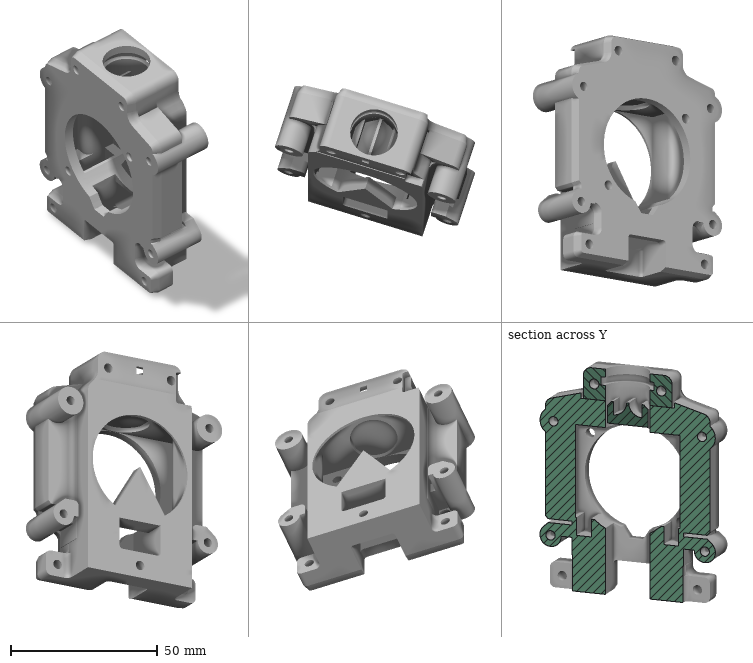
import cadquery as cq
import math

DRAFT_DEPTH = 3.0
PLATE_DEPTH = 3.6
FOOT_DEPTH = 8.8
FLANGE_DEPTH = 12.1
POCKET_DEPTH = 13.6
SECTOR_FRONT = 17.6
LOWER_POST_DEPTH = 19.0
SIDE_RECESS_FRONT = 19.4
BACK_WALL_FRONT = 21.1
BLOCK_DEPTH = 21.8
DEPTH = 22.0

HEIGHT = 80.0
DRAFT_INSET = 1.0
NECK_HALF = 16.5
NECK_RADIUS = 3.1
SHOULDER_START_Z = 70.9
SHOULDER_ANGLE = 15.0
FLANGE_HALF = 30.5
FLANGE_BOTTOM_Z = 25.8
FLANGE_NOTCH_HALF = 29.4
FLANGE_NOTCH_Z = 24.7
WAIST_HALF = 20.7
WAIST_TOP_RADIUS = 1.9
FOOT_HALF = 29.5
FOOT_TOP_Z = 9.0
FOOT_FILLET = 1.8
FOOT_CORNER = 1.9
FLANGE_FILLET = 2.1

BOX_RELIEF = 0.2
COLLAR_BOTTOM_Z = 13.0
COLLAR_DEPTH = FLANGE_DEPTH + FLANGE_FILLET
BOX_SHOULDER_Z = 66.2
BOX_SHOULDER_RADIUS = 4.0
BOX_TOP_HALF = 17.8
BOX_TOP_Z = 69.4
BOX_RAMP_SLOPE = (BOX_TOP_Z - BOX_SHOULDER_Z) / (WAIST_HALF - BOX_TOP_HALF)
BLOCK_FLARE_RADIUS = 4.8

UPPER_POST = (27.4, 59.5)
UPPER_POST_DIAMETER = 10.0
LOWER_POST = (28.5, 19.0)
LOWER_POST_DIAMETER = 8.0
WEB_SLOPE = 40.0
WEB_INNER = 22.6
WEB_TOP_Z = 24.6
POST_HOLE = 3.2
SCREW_HOLE = 3.4
TOP_SCREW = (12.4, 74.2)
FOOT_SCREW = (25.0, 4.4)
PLATE_SCREW = (16.7, 14.1)

WINDOW_Z = 40.4
WINDOW_RADIUS = 18.7
SECTOR_HALF_ANGLE = 31.5
CHAMBER_FLOOR_Z = 26.3
CHAMBER_TOP_Z = 59.1
CHAMBER_FLANGE_HALF = 24.0
CHAMBER_STEP_Y = 9.8
CHAMBER_STEP_RADIUS = 2.8
SIDE_POCKET_INNER = 13.4
SIDE_POCKET_BOTTOM_Z = 20.0
ARCH_Z = 20.4
SLOT_HALF = 8.1
SLOT_TOP_Z = 10.4
SLOT_RADIUS = 1.1
BACK_SILL_Z = 9.3

BORE_Y = FLANGE_DEPTH
BORE_RADIUS = 8.2
GROOVE_RADIUS = 9.8
GROOVE_BOTTOM_Z = 74.2
GROOVE_TOP_Z = 77.0
CLAMP_BOTTOM_Z = 68.8
CLAMP_GAP = 0.6
CLAMP_SEAT_HALF = NECK_HALF + CLAMP_GAP

DIVIDER_HALF = 7.6
DIVIDER_LIP_OUTER = 5.9
DIVIDER_LIP_INNER = 5.1
DIVIDER_BOTTOM_Z = 60.8
DIVIDER_RIDGE_HALF = 0.5


def rounded_outline(plane, corners):
    """Closed wire on a workplane through (u, v, radius) corners, each corner rounded by its radius."""
    pieces = []
    count = len(corners)
    for i, (x, z, radius) in enumerate(corners):
        corner = cq.Vector(x, z)
        before = cq.Vector(*corners[i - 1][:2]) - corner
        after = cq.Vector(*corners[(i + 1) % count][:2]) - corner
        if radius == 0:
            pieces.append((corner, corner, corner))
            continue
        half_angle = before.getAngle(after) / 2
        tangent = radius / math.tan(half_angle)
        bisector = (before.normalized() + after.normalized()).normalized()
        middle = corner + bisector * (radius / math.sin(half_angle) - radius)
        pieces.append((corner + before.normalized() * tangent, middle, corner + after.normalized() * tangent))
    path = plane.moveTo(pieces[0][2].x, pieces[0][2].y)
    for start, middle, end in pieces[1:] + pieces[:1]:
        path = path.lineTo(start.x, start.y)
        if start != end:
            path = path.threePointArc((middle.x, middle.y), (end.x, end.y))
    return path.close()


def mirrored(right_half):
    """Full outline from the corners of its right half, listed from bottom to top."""
    return right_half + [(-x, z, radius) for x, z, radius in reversed(right_half)]


def prism(outline, y_front, y_back):
    plane = cq.Workplane("XZ", origin=(0, y_front, 0))
    return rounded_outline(plane, outline).extrude(y_front - y_back)


def block(x0, x1, y0, y1, z0, z1):
    return cq.Workplane("XY").box(x1 - x0, y1 - y0, z1 - z0, centered=False).translate((x0, y0, z0))


def rod(x, z, diameter, y_front, y_back):
    return cq.Workplane("XZ", origin=(x, y_front, z)).circle(diameter / 2).extrude(y_front - y_back)


def both_sides(solid):
    return solid.union(solid.mirror("YZ"))


def inner_fillet(x, y, radius, z0, z1):
    """Concave strip in the corner between a side facing +X at x and a rear face at y."""
    return (
        cq.Workplane("XY", origin=(0, 0, z0))
        .moveTo(x, y)
        .lineTo(x + radius, y)
        .radiusArc((x, y + radius), radius)
        .close()
        .extrude(z1 - z0)
    )


def shoulder_z(x):
    return SHOULDER_START_Z - (x - NECK_HALF) * math.tan(math.radians(SHOULDER_ANGLE))


def shoulder_corners():
    """Right side of the flange, from the notch under it to the shoulder."""
    return [
        (FLANGE_NOTCH_HALF, FLANGE_NOTCH_Z, 0.3),
        (FLANGE_HALF, FLANGE_BOTTOM_Z, 0.3),
        (FLANGE_HALF, shoulder_z(FLANGE_HALF), NECK_RADIUS),
    ]


def front_plate():
    tangent_offset = LOWER_POST_DIAMETER / 2 * math.sqrt(0.5)
    tangent_x = LOWER_POST[0] - tangent_offset
    tangent_z = LOWER_POST[1] - tangent_offset
    waist_top_z = tangent_z + tangent_x - WAIST_HALF
    outline = mirrored([
        (FOOT_HALF, 0, FOOT_CORNER),
        (FOOT_HALF, FOOT_TOP_Z, FOOT_CORNER),
        (WAIST_HALF, FOOT_TOP_Z, FOOT_FILLET),
        (WAIST_HALF, waist_top_z, WAIST_TOP_RADIUS),
        (tangent_x, tangent_z, 0),
        (FLANGE_NOTCH_HALF, LOWER_POST[1], 0),
        *shoulder_corners(),
        (NECK_HALF, SHOULDER_START_Z, NECK_RADIUS),
        (NECK_HALF, HEIGHT, NECK_RADIUS),
    ])
    draft = math.degrees(math.atan(DRAFT_INSET / DRAFT_DEPTH))
    plane = cq.Workplane("XZ", origin=(0, DRAFT_DEPTH, 0))
    rim = rounded_outline(plane, outline).extrude(DRAFT_DEPTH, taper=draft)
    return rim.union(prism(outline, DRAFT_DEPTH, PLATE_DEPTH))


def flange():
    corners = mirrored([*shoulder_corners(), (CLAMP_SEAT_HALF, shoulder_z(CLAMP_SEAT_HALF), 0)])
    return prism(corners, DRAFT_DEPTH, FLANGE_DEPTH)


def feet():
    foot = prism([
        (0, 0, 0),
        (FOOT_HALF, 0, FOOT_CORNER),
        (FOOT_HALF, FOOT_TOP_Z, FOOT_CORNER),
        (WAIST_HALF, FOOT_TOP_Z, FOOT_FILLET),
        (WAIST_HALF, FOOT_TOP_Z + 2 * FOOT_FILLET, 0),
        (0, FOOT_TOP_Z + 2 * FOOT_FILLET, 0),
    ], DRAFT_DEPTH, FOOT_DEPTH)
    lower_side = WAIST_HALF - BOX_RELIEF
    return both_sides(foot.union(inner_fillet(lower_side, FOOT_DEPTH, FOOT_FILLET, 0, FOOT_TOP_Z)))


def rear_box():
    lower_side = WAIST_HALF - BOX_RELIEF
    box = prism(mirrored([
        (lower_side, 0, 0),
        (lower_side, BOX_SHOULDER_Z, BOX_SHOULDER_RADIUS),
        (BOX_TOP_HALF, BOX_TOP_Z, 0),
    ]), PLATE_DEPTH, DEPTH)
    collar = block(-WAIST_HALF, WAIST_HALF, DRAFT_DEPTH, COLLAR_DEPTH, COLLAR_BOTTOM_Z, BOX_SHOULDER_Z - 1.6)
    strip = inner_fillet(WAIST_HALF, FLANGE_DEPTH, FLANGE_FILLET, FLANGE_NOTCH_Z, BOX_SHOULDER_Z - 1.6)
    return box.union(collar).union(both_sides(strip))


def hose_block():
    """Top block behind the clamp, flaring into the box shoulders."""
    flare_x = 1.6
    corner_z = BOX_TOP_Z + BOX_RAMP_SLOPE * (BOX_TOP_HALF - NECK_HALF)
    return prism(mirrored([
        (NECK_HALF + flare_x, corner_z - BOX_RAMP_SLOPE * flare_x, 0),
        (NECK_HALF, corner_z, BLOCK_FLARE_RADIUS),
        (NECK_HALF, HEIGHT, NECK_RADIUS),
    ]), FLANGE_DEPTH, BLOCK_DEPTH)


def posts():
    upper = rod(*UPPER_POST, UPPER_POST_DIAMETER, 0, DEPTH)
    lower = rod(*LOWER_POST, LOWER_POST_DIAMETER, 0, LOWER_POST_DEPTH)
    x, z = LOWER_POST
    slope = math.radians(WEB_SLOPE)
    tangent_x = x + LOWER_POST_DIAMETER / 2 * math.sin(slope)
    tangent_z = z + LOWER_POST_DIAMETER / 2 * math.cos(slope)
    web = prism([
        (tangent_x, tangent_z, 0),
        (tangent_x - (WEB_TOP_Z - tangent_z) / math.tan(slope), WEB_TOP_Z, 0),
        (WEB_INNER, WEB_TOP_Z, 1.6),
        (WEB_INNER, z, 0),
        (x, z, 0),
    ], 0, LOWER_POST_DEPTH)
    bridge = block(WAIST_HALF - 0.8, x, DRAFT_DEPTH, FLANGE_DEPTH, z, WEB_TOP_Z)
    gap = block(0, FLANGE_HALF, 0, COLLAR_DEPTH + 0.8, WEB_TOP_Z - 1.1, HEIGHT)
    return both_sides(upper.union(lower).union(web.union(bridge).cut(gap)))


def window():
    """Round window through the part and the notch below it."""
    bore = rod(0, WINDOW_Z, 2 * WINDOW_RADIUS, 0, DEPTH)
    notch = prism(mirrored([
        (2.5, 18.6, 0),
        (3.7, 20.2, 0),
        (5.3, 22.6, 0),
    ]), 0, PLATE_DEPTH)
    return bore.union(notch)


def chamber():
    """Cavity behind the front plate, wider inside the flange, with a sunken pocket at each side."""
    floor = cq.Workplane("XY", origin=(0, 0, CHAMBER_FLOOR_Z))
    cavity = rounded_outline(floor, mirrored([
        (CHAMBER_FLANGE_HALF, PLATE_DEPTH, 0),
        (CHAMBER_FLANGE_HALF, CHAMBER_STEP_Y, 0),
        (WINDOW_RADIUS, CHAMBER_STEP_Y, CHAMBER_STEP_RADIUS),
        (WINDOW_RADIUS, BACK_WALL_FRONT, 0),
    ])).extrude(CHAMBER_TOP_Z - CHAMBER_FLOOR_Z)
    side_pocket = block(
        SIDE_POCKET_INNER, WINDOW_RADIUS, PLATE_DEPTH, SECTOR_FRONT, SIDE_POCKET_BOTTOM_Z, WINDOW_Z
    )
    return cavity.union(both_sides(side_pocket))


def sector():
    """Wedge of the rear wall left standing below the window axis."""
    half_width = WINDOW_Z * math.tan(math.radians(SECTOR_HALF_ANGLE))
    wedge = prism([(0, WINDOW_Z, 0), (half_width, 0, 0), (-half_width, 0, 0)], SECTOR_FRONT, DEPTH)
    return wedge.intersect(rod(0, WINDOW_Z, 2 * WINDOW_RADIUS, 0, DEPTH))


def lower_openings():
    """Slot in the front, the pocket behind it and the opening through the rear wall."""
    slot = block(-SLOT_HALF, SLOT_HALF, 0, POCKET_DEPTH, 0, SLOT_TOP_Z).edges(">Y and |Z").fillet(SLOT_RADIUS)
    slot = slot.edges("<Y or >Z").edges("|Y").fillet(SLOT_RADIUS)
    pocket = block(-SLOT_HALF, SLOT_HALF, PLATE_DEPTH, POCKET_DEPTH, BACK_SILL_Z, WINDOW_Z)
    opening = block(-SLOT_HALF, SLOT_HALF, POCKET_DEPTH - 1.6, DEPTH, BACK_SILL_Z, ARCH_Z)
    opening = opening.faces("<Z").edges("|Y").fillet(SLOT_RADIUS)
    return slot.union(pocket).union(opening)


def side_recess():
    """Recess in the rear left side of the hose block and the box shoulder."""
    return block(-WAIST_HALF - 0.8, -14.2, SIDE_RECESS_FRONT, DEPTH, 66.4, 77.8).edges("|Y").fillet(0.8)


def hose_bore():
    """Grooved vertical bore shared by the housing and the clamp."""
    axis = cq.Workplane("XY", origin=(0, BORE_Y, WINDOW_Z))
    bore = axis.circle(BORE_RADIUS).extrude(HEIGHT - WINDOW_Z)
    groove = cq.Workplane("XY", origin=(0, BORE_Y, GROOVE_BOTTOM_Z)).circle(GROOVE_RADIUS)
    return bore.union(groove.extrude(GROOVE_TOP_Z - GROOVE_BOTTOM_Z))


def screw_holes():
    upper = rod(*UPPER_POST, POST_HOLE, 0, DEPTH)
    lower = rod(*LOWER_POST, POST_HOLE, 0, DEPTH)
    top = rod(*TOP_SCREW, SCREW_HOLE, 0, DEPTH)
    foot = rod(*FOOT_SCREW, SCREW_HOLE, 0, DEPTH)
    middle = rod(0, FOOT_SCREW[1], SCREW_HOLE, 0, DEPTH)
    holes = both_sides(upper.union(lower).union(top).union(foot)).union(middle)
    for side in (-1, 1):
        hole = rod(side * PLATE_SCREW[0], WINDOW_Z + side * PLATE_SCREW[1], SCREW_HOLE, 0, PLATE_DEPTH)
        holes = holes.union(hole)
    return holes


def make_housing():
    clamp_seat = block(-CLAMP_SEAT_HALF, CLAMP_SEAT_HALF, PLATE_DEPTH, FLANGE_DEPTH, CLAMP_BOTTOM_Z, HEIGHT)
    body = rear_box().union(flange()).union(feet()).union(front_plate()).cut(clamp_seat)
    body = body.union(hose_block()).union(posts())
    body = body.cut(window()).cut(chamber()).union(sector()).cut(lower_openings())
    return body.cut(side_recess()).cut(hose_bore()).cut(screw_holes())


def make_clamp():
    """Front half of the hose grip."""
    outline = mirrored([(NECK_HALF, CLAMP_BOTTOM_Z, 0), (NECK_HALF, HEIGHT, NECK_RADIUS)])
    return prism(outline, PLATE_DEPTH, FLANGE_DEPTH).cut(hose_bore()).cut(screw_holes())


def make_divider():
    """Ridged bar across the bottom of the hose bore that splits the flow to both sides."""
    bowl_radius = DIVIDER_LIP_INNER - DIVIDER_RIDGE_HALF
    bowl_z = CLAMP_BOTTOM_Z - bowl_radius
    y_front = BORE_Y - BORE_RADIUS
    bevel = DIVIDER_HALF - DIVIDER_LIP_OUTER
    blank = prism(mirrored([
        (DIVIDER_HALF, DIVIDER_BOTTOM_Z, 0),
        (DIVIDER_HALF, CLAMP_BOTTOM_Z - bevel, 0),
        (DIVIDER_LIP_OUTER, CLAMP_BOTTOM_Z, 0),
    ]), y_front, y_front + 2 * BORE_RADIUS)
    bowl = (
        cq.Workplane("XZ", origin=(0, y_front, 0))
        .moveTo(DIVIDER_RIDGE_HALF, CLAMP_BOTTOM_Z)
        .radiusArc((DIVIDER_LIP_INNER, bowl_z), -bowl_radius)
        .lineTo(DIVIDER_LIP_INNER, CLAMP_BOTTOM_Z)
        .close()
        .extrude(-2 * BORE_RADIUS)
    )
    return blank.cut(both_sides(bowl))


divider = make_divider()
housing = make_housing().cut(divider)
clamp = make_clamp()
result = cq.Compound.makeCompound([housing.val(), clamp.val(), divider.val()])